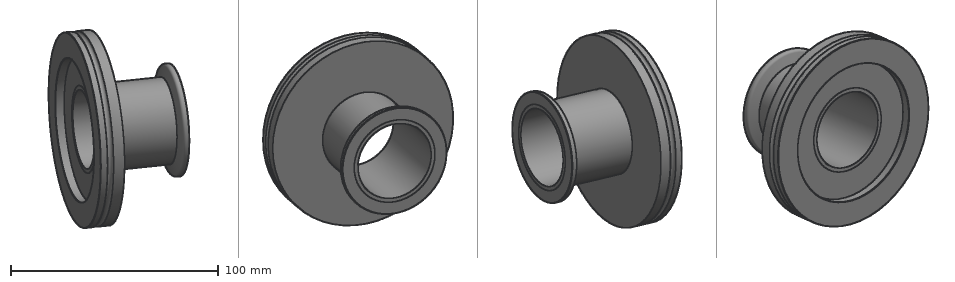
import cadquery as cq
import math


total_length = 50.0

tube_outer_radius = 42.5 / 2
bore_radius = 38.5 / 2

large_flange_radius = 95.0 / 2
large_flange_thickness = 12.0
recess_radius = 70.0 / 2
recess_depth = 4.5
groove_radius = 1.5
groove_center_y = 5.0
large_edge_chamfer = 0.2

small_flange_radius = 55.0 / 2
small_flange_thickness = 4.6
cone_angle = math.radians(15)
rim_fillet = 1.5
small_edge_chamfer = 0.25

cone_rise = (small_flange_radius - tube_outer_radius) * math.tan(cone_angle)
small_flange_start = total_length - small_flange_thickness
rim_corner_y = small_flange_start + cone_rise


def turn(profile):
    """Revolve a closed (radius, y) profile about the Y axis."""
    return profile.revolve(360, (0, 0, 0), (0, 1, 0))


def make_large_flange():
    """Disc with a seal recess, a hole for the tube and a round groove in its rim."""
    profile = (
        cq.Workplane("XY")
        .moveTo(recess_radius + large_edge_chamfer, 0)
        .lineTo(large_flange_radius - large_edge_chamfer, 0)
        .lineTo(large_flange_radius, large_edge_chamfer)
        .lineTo(large_flange_radius, groove_center_y - groove_radius)
        .threePointArc(
            (large_flange_radius - groove_radius, groove_center_y),
            (large_flange_radius, groove_center_y + groove_radius),
        )
        .lineTo(large_flange_radius, large_flange_thickness)
        .lineTo(tube_outer_radius, large_flange_thickness)
        .lineTo(tube_outer_radius, recess_depth)
        .lineTo(recess_radius, recess_depth)
        .lineTo(recess_radius, large_edge_chamfer)
        .close()
    )
    return turn(profile)


def make_tube():
    """Plain tube from the recess floor to the outer face of the small flange."""
    profile = (
        cq.Workplane("XY")
        .moveTo(bore_radius, recess_depth)
        .lineTo(tube_outer_radius, recess_depth)
        .lineTo(tube_outer_radius, total_length)
        .lineTo(bore_radius, total_length)
        .close()
    )
    return turn(profile)


def make_small_flange():
    """Ring with a conical back and a rounded rim, with the tube passing through it."""
    fillet_turn = math.pi / 2 - cone_angle
    fillet_center_radius = small_flange_radius - rim_fillet
    fillet_center_y = rim_corner_y + rim_fillet * math.tan(fillet_turn / 2)

    def fillet_point(angle):
        return (
            fillet_center_radius + rim_fillet * math.cos(angle),
            fillet_center_y - rim_fillet * math.sin(angle),
        )

    profile = (
        cq.Workplane("XY")
        .moveTo(tube_outer_radius, small_flange_start)
        .lineTo(*fillet_point(fillet_turn))
        .threePointArc(fillet_point(fillet_turn / 2), fillet_point(0))
        .lineTo(small_flange_radius, total_length - small_edge_chamfer)
        .lineTo(small_flange_radius - small_edge_chamfer, total_length)
        .lineTo(tube_outer_radius, total_length)
        .close()
    )
    return turn(profile)


large_flange = make_large_flange()
tube = make_tube()
small_flange = make_small_flange()

result = cq.Compound.makeCompound([large_flange.val(), tube.val(), small_flange.val()])